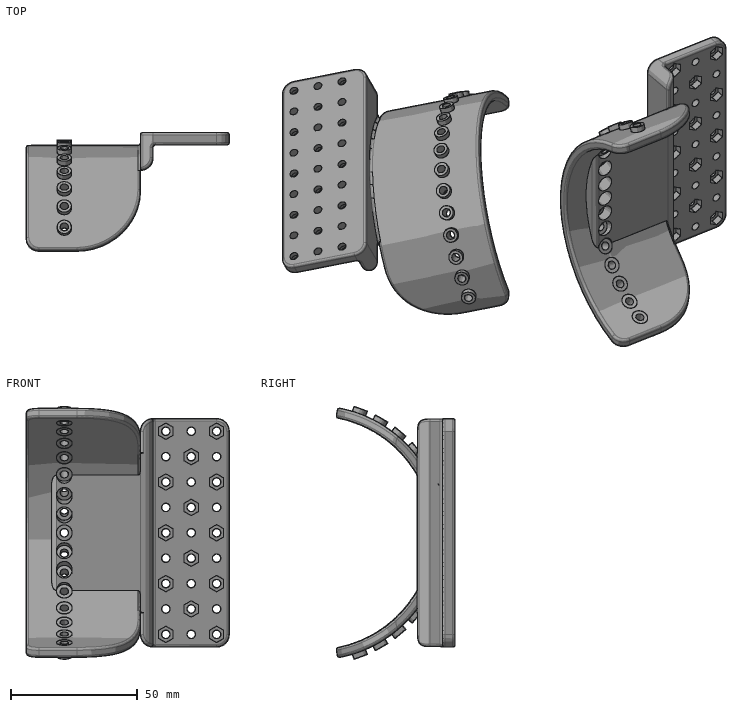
import cadquery as cq
import math

cuff_length = 45.0
cuff_outer_radius = 50.0
cuff_thickness = 4.0
cuff_inner_radius = cuff_outer_radius - cuff_thickness
cuff_half_angle = 80.0
rim_corner_radius = 5.0
root_corner_radius = 25.0
edge_round = 1.0

boss_count = 15
boss_pitch_angle = 10.0
boss_x = 15.0
boss_diameter = 5.6
boss_tip_radius = 52.0
hole_diameter = 3.2
counterbore_diameter = 6.2
counterbore_floor_radius = 46.05
drill_clearance = 5.0

plate_end_x = 80.0
plate_half_height = 45.0
plate_back_y = 55.0
plate_thickness = 5.0
wall_depth = 15.0
bracket_corner_radius = 5.0
plate_front_y = plate_back_y - plate_thickness
wall_front_y = plate_back_y - wall_depth
wall_end_x = cuff_length + plate_thickness

pad_start_x = 10.0
pad_edge_radius = 2.0
pad_overlap = 1.0

grid_pitch = 10.0
grid_columns = 3
grid_rows = 9
grid_center_x = 65.0
nut_across_flats = 5.6
nut_pocket_depth = 3.0


def make_cuff():
    """Cylindrical shell with rounded corners and edges, built as two mirrored halves."""
    shell = (
        cq.Workplane("XY")
        .moveTo(0, cuff_inner_radius)
        .rect(cuff_length, cuff_thickness, centered=False)
        .revolve(cuff_half_angle, (0, 0, 0), (1, 0, 0))
    )
    side_outline = (
        cq.Workplane("XY")
        .box(cuff_length, 2 * cuff_outer_radius, 2 * cuff_outer_radius, centered=(False, False, False))
        .edges("|Z and <Y and <X")
        .fillet(rim_corner_radius)
        .edges("|Z and <Y and >X")
        .fillet(root_corner_radius)
        .rotate((0, 0, 0), (1, 0, 0), cuff_half_angle - 90)
    )
    half = shell.intersect(side_outline)
    half = half.faces("%CYLINDER").edges("not <Z").fillet(edge_round)
    return half.union(half.mirror("XY"))


def make_bracket():
    """Stepped plate with rounded corners and edges."""
    outline = (
        cq.Workplane("XY", origin=(0, 0, -plate_half_height))
        .moveTo(cuff_length, wall_front_y)
        .radiusArc((wall_end_x, wall_front_y + bracket_corner_radius), -bracket_corner_radius)
        .lineTo(wall_end_x, plate_front_y - edge_round)
        .radiusArc((wall_end_x + edge_round, plate_front_y), edge_round)
        .lineTo(plate_end_x, plate_front_y)
        .lineTo(plate_end_x, plate_back_y)
        .lineTo(cuff_length, plate_back_y)
        .close()
    )
    stepped_plate = outline.extrude(2 * plate_half_height)
    rounded_block = (
        cq.Workplane("XY")
        .box(plate_end_x - cuff_length, wall_depth, 2 * plate_half_height, centered=(False, False, True))
        .translate((cuff_length, wall_front_y, 0))
        .edges("|Y")
        .fillet(bracket_corner_radius)
    )
    body = stepped_plate.intersect(rounded_block)
    body = body.faces(">Y").edges().fillet(edge_round)
    front_edge = cq.selectors.NearestToPointSelector((plate_end_x, plate_front_y, 0))
    body = body.edges(front_edge).fillet(edge_round)
    joint = cq.Workplane("YZ").circle(cuff_outer_radius + edge_round).extrude(wall_end_x)
    return body.union(stepped_plate.intersect(joint))


def make_joint_fillet():
    """Concave ring where the outside of the cuff runs into the wall."""
    ring = (
        cq.Workplane("XY")
        .moveTo(cuff_length - edge_round, cuff_outer_radius - edge_round)
        .lineTo(cuff_length - edge_round, cuff_outer_radius)
        .radiusArc((cuff_length, cuff_outer_radius + edge_round), -edge_round)
        .lineTo(cuff_length, cuff_outer_radius - edge_round)
        .close()
        .revolve(360, (0, 0, 0), (1, 0, 0))
    )
    wall_zone = (
        cq.Workplane("XY")
        .box(cuff_length, wall_depth, 2 * plate_half_height, centered=(False, False, True))
        .translate((0, wall_front_y, 0))
    )
    return ring.intersect(wall_zone)


def make_pad():
    """Flat pad in the cuff, following the shell behind it."""
    block_depth = cuff_outer_radius - wall_front_y
    block = (
        cq.Workplane("XY")
        .box(cuff_length - pad_start_x, block_depth, 2 * plate_half_height, centered=(False, False, True))
        .translate((pad_start_x, wall_front_y, 0))
        .edges("<X and <Y")
        .fillet(pad_edge_radius)
    )
    envelope = cq.Workplane("YZ").circle(cuff_inner_radius + pad_overlap).extrude(cuff_length)
    return block.intersect(envelope)


def radial_cylinder(diameter, start_radius, end_radius, angle):
    """Cylinder pointing away from the cuff axis, at an angle from +Y."""
    return (
        cq.Workplane("XZ", origin=(boss_x, start_radius, 0))
        .circle(diameter / 2)
        .extrude(start_radius - end_radius)
        .rotate((0, 0, 0), (1, 0, 0), angle)
    )


def add_bosses(body):
    """Strap bosses, each with a counterbored through hole."""
    boss_base_radius = cuff_outer_radius - cuff_thickness / 2
    drill_start_radius = wall_front_y - drill_clearance
    drill_end_radius = boss_tip_radius + drill_clearance
    angles = [boss_pitch_angle * (i - (boss_count - 1) / 2) for i in range(boss_count)]
    for angle in angles:
        body = body.union(radial_cylinder(boss_diameter, boss_base_radius, boss_tip_radius, angle))
    for angle in angles:
        body = body.cut(
            radial_cylinder(counterbore_diameter, drill_start_radius, counterbore_floor_radius, angle)
        )
        body = body.cut(radial_cylinder(hole_diameter, drill_start_radius, drill_end_radius, angle))
    return body


def cut_plate_holes(body):
    """Screw hole grid with nut pockets in a checkerboard pattern."""
    hole_points = []
    nut_points = []
    for column in range(grid_columns):
        for row in range(grid_rows):
            x = grid_center_x + grid_pitch * (column - (grid_columns - 1) / 2)
            z = grid_pitch * (row - (grid_rows - 1) / 2)
            hole_points.append((x, z))
            if (column + row) % 2 == 0:
                nut_points.append((x, z))
    holes = (
        cq.Workplane("XZ", origin=(0, plate_back_y, 0))
        .pushPoints(hole_points)
        .circle(hole_diameter / 2)
        .extrude(plate_thickness)
    )
    nut_corner_diameter = nut_across_flats / math.cos(math.pi / 6)
    hexagon = cq.Sketch().regularPolygon(nut_corner_diameter / 2, 6)
    pockets = (
        cq.Workplane("XZ", origin=(0, plate_front_y + nut_pocket_depth, 0))
        .pushPoints(nut_points)
        .placeSketch(hexagon)
        .extrude(nut_pocket_depth)
    )
    return body.cut(holes).cut(pockets)


bracket = cut_plate_holes(make_bracket())
padded_cuff = make_cuff().union(make_pad())
brace = padded_cuff.union(make_joint_fillet()).union(bracket)
result = add_bosses(brace)